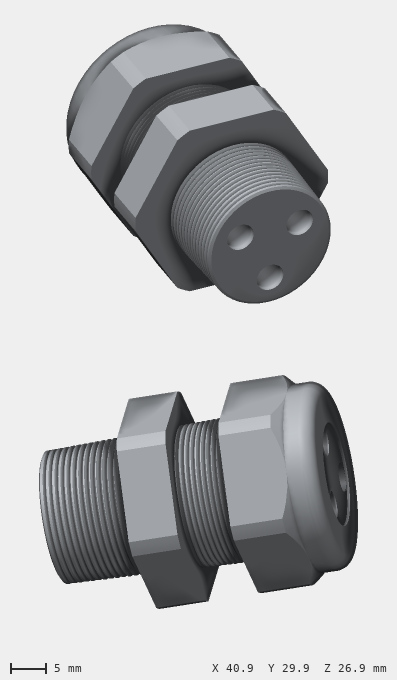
import cadquery as cq
import math


total_length = 40.89
cap_length = 13.2
flange_start = 20.9
flange_end = 28.0

hex_across_flats = 26.92
hex_corner_radius = 29.88 / 2
hex_across_corners = hex_across_flats / math.cos(math.pi / 6)

nose_radius = hex_across_flats / 2
nose_rounding = 2.0
collar_end = 4.15
cone_end = collar_end + hex_corner_radius - nose_radius

flank_slope = math.tan(math.radians(60))
thread_taper = 1 / 32

rear_thread_grooves = 10
rear_thread_pitch = (flange_start - cap_length) / rear_thread_grooves
rear_root_radius = 9.74

entry_thread_pitch = 0.886
entry_thread_grooves = 14
entry_root_radius = 9.1
entry_first_crest = total_length - (entry_thread_grooves - 0.5) * entry_thread_pitch

insert_radius = 7.66
insert_rim_width = 0.28
insert_recess_depth = 0.4
cable_hole_count = 3
cable_hole_diameter = 4.1
cable_hole_offset = 5.3


def sharp_crest_radius(root_radius, pitch):
    """Radius of the untruncated crest where the thread begins."""
    return root_radius + flank_slope * pitch / 2


def thread_outline(first_crest, pitch, root_radius, groove_count):
    """Points (x, radius) of the grooves that follow the sharp crest at first_crest."""
    points = []
    for i in range(groove_count):
        root_x = first_crest + (i + 0.5) * pitch
        taper_drop = thread_taper * (root_x - first_crest)
        groove_depth = sharp_crest_radius(root_radius, pitch) - taper_drop - root_radius
        front_width = groove_depth / (flank_slope - thread_taper)
        back_width = groove_depth / (flank_slope + thread_taper)
        if i > 0:
            points.append((root_x - front_width, root_radius + flank_slope * front_width))
        points.append((root_x, root_radius))
        points.append((root_x + back_width, root_radius + flank_slope * back_width))
    return points


def revolve_about_x(profile):
    return profile.close().revolve(360, (0, 0, 0), (1, 0, 0))


def hex_block(start, end):
    """Hexagonal prism along X with flats at top and bottom and turned corners."""
    plane = cq.Workplane("YZ").workplane(offset=start)
    prism = plane.polygon(6, hex_across_corners).extrude(end - start)
    turned_blank = plane.circle(hex_corner_radius).extrude(end - start)
    return prism.intersect(turned_blank)


def make_cap():
    rounding_middle = nose_rounding * (1 - math.sqrt(0.5))
    envelope = revolve_about_x(
        cq.Workplane("XY")
        .lineTo(0, nose_radius - nose_rounding)
        .threePointArc((rounding_middle, nose_radius - rounding_middle), (nose_rounding, nose_radius))
        .lineTo(collar_end, nose_radius)
        .lineTo(cone_end, hex_corner_radius)
        .lineTo(cap_length, hex_corner_radius)
        .lineTo(cap_length, 0)
    )
    collar = cq.Workplane("YZ").circle(nose_radius).extrude(collar_end)
    hexagon = hex_block(collar_end, cap_length)
    return collar.union(hexagon).intersect(envelope)


def make_rear_thread():
    grooves = thread_outline(cap_length, rear_thread_pitch, rear_root_radius, rear_thread_grooves)
    end_radius = grooves[-1][1]
    profile = cq.Workplane("XY").moveTo(cap_length, 0)
    profile = profile.lineTo(cap_length, sharp_crest_radius(rear_root_radius, rear_thread_pitch))
    for point in grooves:
        profile = profile.lineTo(*point)
    return revolve_about_x(profile.lineTo(flange_start, end_radius).lineTo(flange_start, 0))


def make_entry_thread():
    """Thread stretch behind the flange, with a concave relief before the first crest."""
    crest_radius = sharp_crest_radius(entry_root_radius, entry_thread_pitch)
    relief_radius = entry_first_crest - flange_end
    relief_diagonal = relief_radius * math.sqrt(0.5)
    grooves = thread_outline(
        entry_first_crest, entry_thread_pitch, entry_root_radius, entry_thread_grooves
    )
    profile = (
        cq.Workplane("XY")
        .moveTo(flange_end, 0)
        .lineTo(flange_end, crest_radius - relief_radius)
        .threePointArc(
            (flange_end + relief_diagonal, crest_radius - relief_diagonal),
            (entry_first_crest, crest_radius),
        )
    )
    for point in grooves[:-1]:
        profile = profile.lineTo(*point)
    return revolve_about_x(profile.lineTo(total_length, 0))


def make_housing():
    flange = hex_block(flange_start, flange_end)
    bore = cq.Workplane("YZ").circle(insert_radius).extrude(total_length)
    return make_cap().union(make_rear_thread()).union(flange).union(make_entry_thread()).cut(bore)


def make_sealing_insert():
    """Plug filling the bore, dished inside its front rim, with one cable hole at the bottom."""
    plug = cq.Workplane("YZ").circle(insert_radius).extrude(total_length)
    recess = cq.Workplane("YZ").circle(insert_radius - insert_rim_width).extrude(insert_recess_depth)
    cable_holes = (
        cq.Workplane("YZ")
        .polarArray(cable_hole_offset, -90, 360, cable_hole_count)
        .circle(cable_hole_diameter / 2)
        .extrude(total_length)
    )
    return plug.cut(recess).cut(cable_holes)


housing = make_housing().solids()
sealing_insert = make_sealing_insert().solids()

result = cq.Compound.makeCompound([housing.val(), sealing_insert.val()])